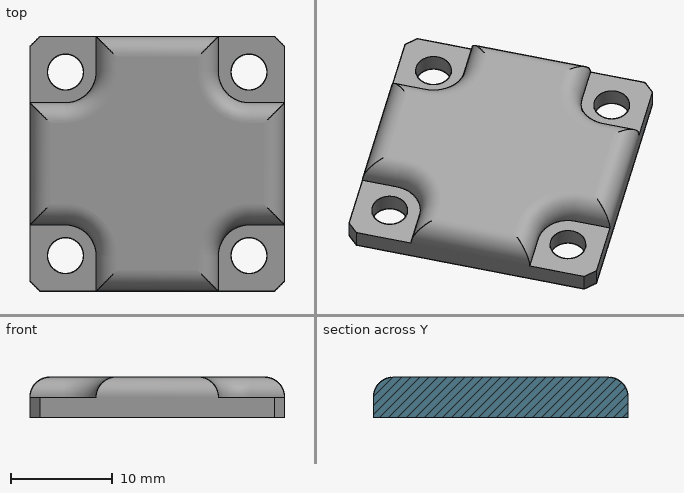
import cadquery as cq

side = 25.0
total_height = 4.0
plate_thickness = 2.0
corner_chamfer = 1.0
hole_diameter = 3.5
hole_inset = 3.5
notch_radius = 3.0

hole_spacing = side - 2 * hole_inset
notch_size = hole_inset + notch_radius
notch_center = (side - notch_size) / 2
edge_round = total_height - plate_thickness


def make_plate():
    """Square base plate with chamfered corners."""
    plate = cq.Workplane("XY").rect(side, side).extrude(plate_thickness)
    return plate.edges("|Z").chamfer(corner_chamfer)


def make_raised_pad():
    """Pad with a rounded notch at each corner and a fully rounded top rim."""
    pad = cq.Workplane("XY").rect(side, side).extrude(total_height)
    for x_sign in (-1, 1):
        for y_sign in (-1, 1):
            notch = (
                cq.Workplane("XY")
                .center(x_sign * notch_center, y_sign * notch_center)
                .rect(notch_size, notch_size)
                .extrude(total_height)
            )
            inner_x = "<X" if x_sign > 0 else ">X"
            inner_y = "<Y" if y_sign > 0 else ">Y"
            notch = notch.faces(inner_x).edges(inner_y).fillet(notch_radius)
            pad = pad.cut(notch)
    return pad.faces(">Z").edges().fillet(edge_round)


body = make_plate().union(make_raised_pad())

result = (
    body.faces("<Z")
    .workplane(origin=(0, 0, 0))
    .rect(hole_spacing, hole_spacing, forConstruction=True)
    .vertices()
    .hole(hole_diameter)
)